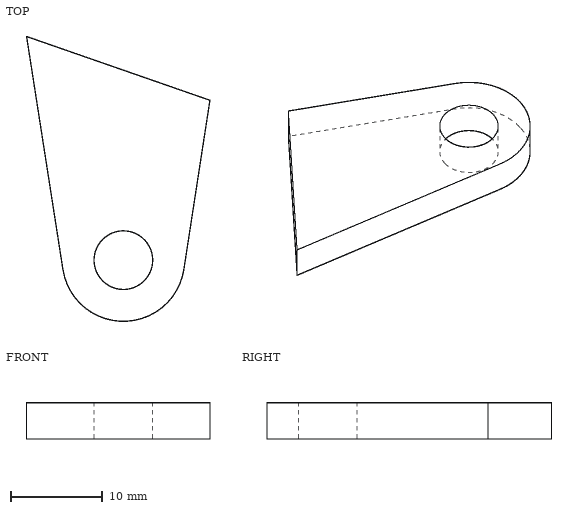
import cadquery as cq
import math

thickness = 4.0
end_radius = 6.7
hole_diameter = 6.4

left_corner = (-10.6, 24.5)
right_corner = (9.5, 17.5)


def tangent_point(corner, side):
    """Point where the straight side from a corner meets the round end.

    side is 1 for the right-hand side and -1 for the left-hand side.
    """
    x, y = corner
    corner_angle = math.atan2(y, x)
    angle_between = math.acos(end_radius / math.hypot(x, y))
    angle = corner_angle - side * angle_between
    return (end_radius * math.cos(angle), end_radius * math.sin(angle))


plate = (
    cq.Workplane("XY")
    .moveTo(*left_corner)
    .lineTo(*tangent_point(left_corner, -1))
    .threePointArc((0, -end_radius), tangent_point(right_corner, 1))
    .lineTo(*right_corner)
    .close()
    .extrude(thickness)
)

pin_hole = cq.Workplane("XY").circle(hole_diameter / 2).extrude(thickness)

result = plate.cut(pin_hole)